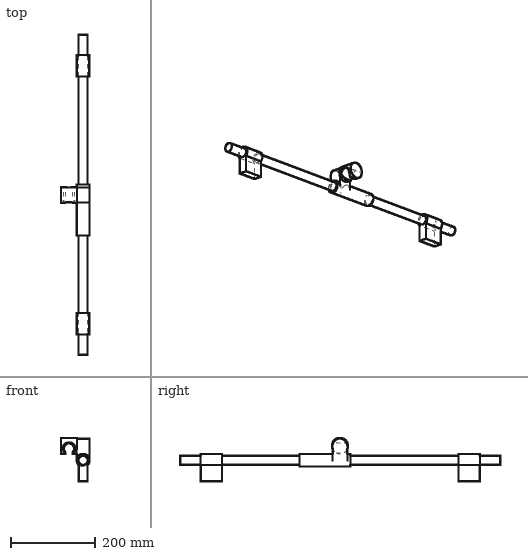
import cadquery as cq

RAIL_LENGTH = 760.0
RAIL_RADIUS = 11.0

BRACKET_LENGTH = 51.0
BRACKET_END_GAP = 49.0
COLLAR_RADIUS = 15.0
FOOT_WIDTH = 21.0
FOOT_BOTTOM = -50.0

SLEEVE_RADIUS = 15.0
SLEEVE_LENGTH = 121.5
SLEEVE_BACK = 24.0

KNOB_Y = -1.0
KNOB_TOP = 53.0
KNOB_RADIUS = 19.0
KNOB_Z = KNOB_TOP - KNOB_RADIUS
KNOB_LEFT = -52.5
KNOB_RIGHT = -14.5
BODY_RADIUS = 17.5
BODY_RIGHT = SLEEVE_RADIUS
BODY_LEFT = -SLEEVE_RADIUS

CRADLE_FRONT_RADIUS = 14.5
CRADLE_BACK_RADIUS = 12.0
CRADLE_MOUTH = 16.0
CRADLE_X = (KNOB_LEFT + KNOB_RIGHT) / 2
CRADLE_Z = 28.0


def cylinder_y(radius, y_start, y_end):
    """Cylinder around the rail axis."""
    return cq.Workplane("XZ", origin=(0, y_start, 0)).circle(radius).extrude(y_start - y_end)


def cylinder_x(radius, x_start, x_end):
    """Cylinder around the knob axis."""
    plane = cq.Workplane("YZ", origin=(x_start, KNOB_Y, KNOB_Z))
    return plane.circle(radius).extrude(x_end - x_start)


def box_between(low, high):
    """Box from its lowest corner to its highest corner."""
    size = [b - a for a, b in zip(low, high)]
    return cq.Workplane("XY").box(*size, centered=False).translate(low)


def bracket():
    """Bracket at the +Y end."""
    outer = RAIL_LENGTH / 2 - BRACKET_END_GAP
    inner = outer - BRACKET_LENGTH
    half_width = FOOT_WIDTH / 2
    foot = box_between((-half_width, inner, FOOT_BOTTOM), (half_width, outer, 0))
    return cylinder_y(COLLAR_RADIUS, inner, outer).union(foot)


def clamp_body():
    """Round-topped block that ends at the height of the rail axis."""
    block = box_between(
        (BODY_LEFT, KNOB_Y - BODY_RADIUS, 0),
        (BODY_RIGHT, KNOB_Y + BODY_RADIUS, KNOB_Z),
    )
    return block.union(cylinder_x(BODY_RADIUS, BODY_LEFT, BODY_RIGHT))


def cradle_cut():
    """Tapered bore along Y with a straight mouth below it."""
    front = KNOB_Y - KNOB_RADIUS
    back = KNOB_Y + KNOB_RADIUS
    bore = (
        cq.Workplane("XZ", origin=(CRADLE_X, front, CRADLE_Z))
        .circle(CRADLE_FRONT_RADIUS)
        .workplane(offset=front - back)
        .circle(CRADLE_BACK_RADIUS)
        .loft()
    )
    half_mouth = CRADLE_MOUTH / 2
    mouth = box_between(
        (CRADLE_X - half_mouth, front, KNOB_Z - KNOB_RADIUS),
        (CRADLE_X + half_mouth, back, CRADLE_Z),
    )
    return bore.union(mouth)


rail = cylinder_y(RAIL_RADIUS, -RAIL_LENGTH / 2, RAIL_LENGTH / 2)
sleeve = cylinder_y(SLEEVE_RADIUS, SLEEVE_BACK - SLEEVE_LENGTH, SLEEVE_BACK)
knob = cylinder_x(KNOB_RADIUS, KNOB_LEFT, KNOB_RIGHT).cut(cradle_cut())

result = rail.union(sleeve).union(clamp_body()).union(knob)
for end_bracket in (bracket(), bracket().mirror("XZ")):
    result = result.union(end_bracket)